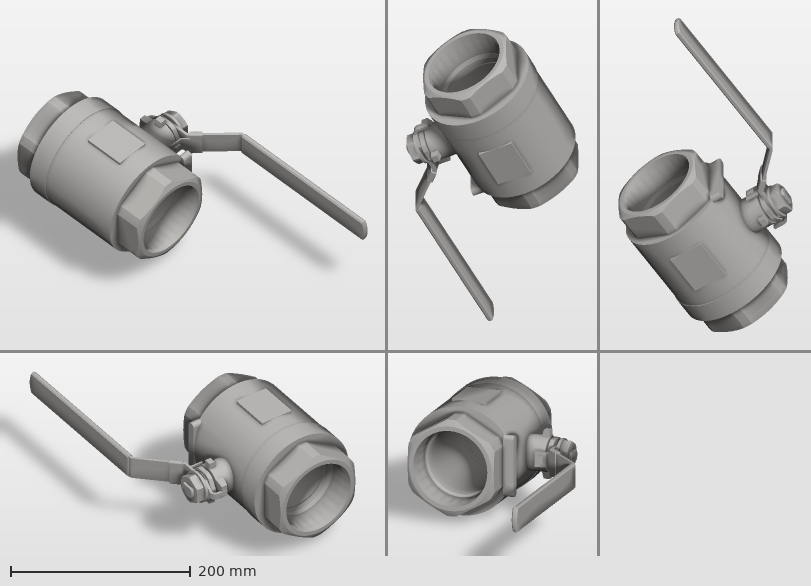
import cadquery as cq
import math


valve_length = 189.5
stem_x = valve_length / 2
flange_start = 32.7
joint_x = 38.0
rim_end = 56.8
barrel_end = 156.0
flange_radius = 64.0
barrel_radius = 63.0

hex_half_flats = 51.0
hex_corner_radius = 56.0
hex_face_radius = 49.0
hex_chamfer_length = 3.5

bore_radius = 39.5
thread_mouth_radius = 44.0
thread_root_radius = 42.0
thread_depth = 32.0
bore_lead_radius = 41.3
bore_lead_end = 36.5

spigot_radius = 50.3
spigot_end = 44.0
spigot_gap = 1.5

plate_start = 80.0
plate_length = 50.0
plate_width = 40.2
plate_height = 63.2

bar_x = 155.2
bar_width = 9.5
bar_length = 71.0
bar_bottom = 51.7
bar_top = flange_radius

neck_radius = 20.5
neck_top = 84.5
lug_reach = 28.0
lug_width = 8.5
lug_outer_bottom = 77.2
lug_root_bottom = 75.5
stop_lug_outer_z = 10.5
stop_lug_root_z = 13.5

shoulder_radius = 15.8
disc_bottom = 86.5
disc_top = 92.0
disc_radius = 19.8
disc_half_flats = 18.7
lever_bottom = 93.0
sheet = 3.2
lever_top = lever_bottom + sheet
washer_top = 99.5
washer_radius = 19.0
nut_top = 109.2
nut_corner_radius = 17.5
nut_chamfer = 1.8
thread_radius = 10.0
stem_top = 112.5
stem_half_flats = 6.5
stem_chamfer = 1.0

tab_x = 66.0
tab_bottom = 77.0
tab_half_width = 3.77
tab_bend_radius = 7.5
taper_start = 72.5
taper_end = 83.0
lever_half_width = 13.5
ramp_start_x = 122.5
handle_middle = 137.5
handle_bend_radius = 4.3

slide_length = 14.5
slide_offset = 3.0
slide_sheet = 1.8
tongue_x = 118.2
tongue_half_width = 9.0
tongue_bottom = 74.0
tongue_bend_top = 88.5

grip_start = 168.5
grip_end = 359.2
grip_end_bulge = 4.0
grip_end_wall = 6.5
grip_width = 29.0
grip_thickness = 6.5
grip_edge_radius = 1.6


def x_cylinder(radius, start, end):
    return cq.Workplane("YZ", origin=(start, 0, 0)).circle(radius).extrude(end - start)


def y_cylinder(radius, bottom, top):
    """Cylinder on the stem axis between two heights."""
    return cq.Workplane("XZ", origin=(stem_x, bottom, 0)).circle(radius).extrude(bottom - top)


def y_hexagon(half_flats, bottom, top):
    """Hexagonal prism on the stem axis with two flats facing +Z and -Z."""
    return (
        cq.Workplane("XZ", origin=(stem_x, bottom, 0))
        .polygon(6, 2 * half_flats / math.cos(math.pi / 6))
        .extrude(bottom - top)
    )


def turn_about_stem(shape, angle):
    return shape.rotate((stem_x, 0, 0), (stem_x, 1, 0), angle)


def revolve_about_x(points):
    """Solid turned about the flow axis from (x, radius) points."""
    return cq.Workplane("XY").polyline(points).close().revolve(360, (0, 0, 0), (1, 0, 0))


def hexagon_end(inner_x):
    """Hexagonal wrench end from x = 0 to inner_x with turned corners and a chamfered face."""
    corner_diameter = 2 * hex_half_flats / math.cos(math.pi / 6)
    prism = cq.Workplane("YZ").polygon(6, corner_diameter).extrude(inner_x)
    prism = prism.rotate((0, 0, 0), (1, 0, 0), 90)
    turned = revolve_about_x([
        (0, 0),
        (0, hex_face_radius),
        (hex_chamfer_length, hex_corner_radius),
        (inner_x, hex_corner_radius),
        (inner_x, 0),
    ])
    return prism.intersect(turned)


def threaded_bore():
    """Tapered thread, a small step and a conical lead into the bore, opening at x = 0."""
    return revolve_about_x([
        (0, 0),
        (0, thread_mouth_radius),
        (thread_depth, thread_root_radius),
        (thread_depth, bore_lead_radius),
        (bore_lead_end, bore_radius),
        (stem_x, bore_radius),
        (stem_x, 0),
    ])


def to_far_end(shape):
    """Mirror a feature of the end cap side to the other end of the valve."""
    return shape.mirror("YZ", (stem_x, 0, 0))


def make_end_cap():
    cap = hexagon_end(flange_start)
    cap = cap.union(x_cylinder(flange_radius, flange_start, joint_x))
    cap = cap.union(x_cylinder(spigot_radius, joint_x, spigot_end))
    return cap.cut(threaded_bore())


def name_plates():
    return cq.Workplane("XY").box(
        plate_length, plate_width, 2 * plate_height
    ).translate((plate_start + plate_length / 2, 0, 0))


def stop_bar():
    return (
        cq.Workplane("XZ", origin=(bar_x, bar_bottom, 0))
        .slot2D(bar_length, bar_width, 90)
        .extrude(bar_bottom - bar_top)
    )


def lug_on_plus_x(half_width):
    """Lug with a sloping underside that points along +X."""
    return (
        cq.Workplane("XY", origin=(stem_x, 0, 0))
        .moveTo(0, neck_top)
        .lineTo(lug_reach, neck_top)
        .lineTo(lug_reach, lug_outer_bottom)
        .lineTo(neck_radius, lug_root_bottom)
        .lineTo(0, lug_root_bottom)
        .close()
        .extrude(half_width, both=True)
    )


def neck_lug(angle):
    """Straight lug turned about the stem axis from the +X direction."""
    return turn_about_stem(lug_on_plus_x(lug_width / 2), angle)


def stop_lug():
    """Lug on the -X side that stands beside the lever's tab and stops it."""
    root_x = -math.sqrt(neck_radius**2 - stop_lug_root_z**2)
    plan = (
        cq.Workplane("XZ", origin=(stem_x, lug_root_bottom, 0))
        .moveTo(0, tab_half_width)
        .lineTo(-lug_reach, tab_half_width)
        .lineTo(-lug_reach, stop_lug_outer_z)
        .lineTo(root_x, stop_lug_root_z)
        .lineTo(0, stop_lug_root_z)
        .close()
        .extrude(lug_root_bottom - neck_top)
    )
    return plan.intersect(turn_about_stem(lug_on_plus_x(stop_lug_root_z), 180))


def make_body():
    body = x_cylinder(flange_radius, joint_x, rim_end)
    body = body.union(x_cylinder(barrel_radius, rim_end, barrel_end))
    body = body.union(to_far_end(hexagon_end(valve_length - barrel_end)))
    body = body.union(name_plates())
    body = body.union(stop_bar())
    body = body.union(y_cylinder(neck_radius, 0, neck_top))
    for angle in (0, 90, 270):
        body = body.union(neck_lug(angle))
    body = body.union(stop_lug())
    body = body.cut(x_cylinder(bore_radius, joint_x, stem_x))
    body = body.cut(to_far_end(threaded_bore()))
    return body.cut(x_cylinder(spigot_radius, joint_x, spigot_end + spigot_gap))


def gland_disc():
    """Disc with six flats, used to tighten the stem packing."""
    disc = y_cylinder(disc_radius, disc_bottom, disc_top)
    return disc.intersect(y_hexagon(disc_half_flats, disc_bottom, disc_top))


def threaded_end():
    """Upper end of the stem with two flats facing +Z and -Z."""
    end = y_cylinder(thread_radius, lever_bottom, stem_top).faces(">Y").chamfer(stem_chamfer)
    height = stem_top - lever_bottom
    flats = cq.Workplane("XY").box(2 * thread_radius, height, 2 * stem_half_flats)
    return end.intersect(flats.translate((stem_x, lever_bottom + height / 2, 0)))


def hexagon_nut():
    """Hexagon nut with corners along Z, chamfered on both faces."""
    nut_half_flats = nut_corner_radius * math.cos(math.pi / 6)
    prism = turn_about_stem(y_hexagon(nut_half_flats, washer_top, nut_top), 90)
    turned = y_cylinder(nut_corner_radius, washer_top, nut_top)
    return prism.intersect(turned.edges().chamfer(nut_chamfer / 2, nut_chamfer))


def make_stem():
    """Stem with its gland disc, washer and nut."""
    stem = y_cylinder(shoulder_radius, neck_top, lever_bottom)
    stem = stem.union(gland_disc())
    stem = stem.union(threaded_end())
    stem = stem.union(y_cylinder(washer_radius, lever_top, washer_top))
    return stem.union(hexagon_nut())


def lever_sheet():
    """Bent sheet: stop tab, flat around the stem, 45 degree ramp and handle core."""
    half = sheet / 2
    miter = half * math.tan(math.pi / 8)
    ramp_rise = handle_middle - half - lever_bottom
    ramp_end_x = ramp_start_x + ramp_rise
    handle_bottom = handle_middle - half
    handle_top = handle_middle + half
    core_end = grip_end - grip_end_bulge - grip_end_wall
    side = (
        cq.Workplane("XY")
        .moveTo(tab_x, tab_bottom)
        .lineTo(tab_x, lever_top - tab_bend_radius)
        .radiusArc((tab_x + tab_bend_radius, lever_top), tab_bend_radius)
        .lineTo(ramp_start_x - miter, lever_top)
        .lineTo(ramp_end_x - miter, handle_top)
        .lineTo(core_end, handle_top)
        .lineTo(core_end, handle_bottom)
        .lineTo(ramp_end_x + miter, handle_bottom)
        .lineTo(ramp_start_x + miter, lever_bottom)
        .lineTo(tab_x + tab_bend_radius, lever_bottom)
        .radiusArc((tab_x + sheet, lever_top - tab_bend_radius), sheet - tab_bend_radius)
        .lineTo(tab_x + sheet, tab_bottom)
        .close()
        .extrude(lever_half_width, both=True)
    )
    upper_bend = cq.selectors.NearestToPointSelector((ramp_end_x - miter, handle_top, 0))
    side = side.edges("|Z").edges(upper_bend).fillet(handle_bend_radius)
    plan = (
        cq.Workplane("XZ", origin=(0, tab_bottom, 0))
        .moveTo(tab_x, -tab_half_width)
        .lineTo(taper_start, -tab_half_width)
        .lineTo(taper_end, -lever_half_width)
        .lineTo(core_end, -lever_half_width)
        .lineTo(core_end, lever_half_width)
        .lineTo(taper_end, lever_half_width)
        .lineTo(taper_start, tab_half_width)
        .lineTo(tab_x, tab_half_width)
        .close()
        .extrude(tab_bottom - handle_top)
    )
    return side.intersect(plan)


def locking_slide():
    """Rounded sleeve around the ramp whose lower wall runs down into a tongue around the +X lug."""
    ramp_plane = cq.Plane(
        origin=(ramp_start_x, lever_bottom + sheet / 2, 0), xDir=(1, 1, 0), normal=(0, 0, 1)
    )
    sleeve = (
        cq.Workplane(ramp_plane)
        .center(slide_offset + slide_length / 2, 0)
        .rect(slide_length, sheet + 2 * slide_sheet)
        .extrude(lever_half_width + slide_sheet, both=True)
    )
    long_edges = cq.selectors.ParallelDirSelector(ramp_plane.xDir)
    sleeve = sleeve.edges(long_edges).fillet(slide_sheet)
    foot_outer = ramp_plane.toWorldCoords((slide_offset, -sheet / 2 - slide_sheet))
    foot_inner = ramp_plane.toWorldCoords((slide_offset, -sheet / 2))
    tongue = (
        cq.Workplane("XY")
        .moveTo(tongue_x, tongue_bottom)
        .lineTo(tongue_x, tongue_bend_top)
        .lineTo(foot_inner.x, foot_inner.y)
        .lineTo(foot_outer.x, foot_outer.y)
        .lineTo(tongue_x + slide_sheet, tongue_bend_top)
        .lineTo(tongue_x + slide_sheet, tongue_bottom)
        .close()
        .extrude(tongue_half_width, both=True)
    )
    return sleeve.union(tongue)


def make_lever():
    lever = lever_sheet().union(locking_slide())
    lever = lever.cut(threaded_end())
    return lever.cut(neck_lug(0))


def make_grip(core):
    """Rounded sleeve with a bowed far end, pushed over the handle core."""
    corner_x = grip_end - grip_end_bulge
    sleeve = (
        cq.Workplane("XZ", origin=(0, handle_middle - grip_thickness / 2, 0))
        .moveTo(grip_start, -grip_width / 2)
        .lineTo(corner_x, -grip_width / 2)
        .threePointArc((grip_end, 0), (corner_x, grip_width / 2))
        .lineTo(grip_start, grip_width / 2)
        .close()
        .extrude(-grip_thickness)
    )
    sleeve = sleeve.faces("<Y or >Y").edges("not <X").chamfer(grip_edge_radius)
    return sleeve.cut(core)


end_cap = make_end_cap()
body = make_body()
stem = make_stem()
lever = make_lever()
grip = make_grip(lever)

result = cq.Compound.makeCompound([
    *end_cap.solids().vals(),
    *body.solids().vals(),
    *stem.solids().vals(),
    *lever.solids().vals(),
    *grip.solids().vals(),
])